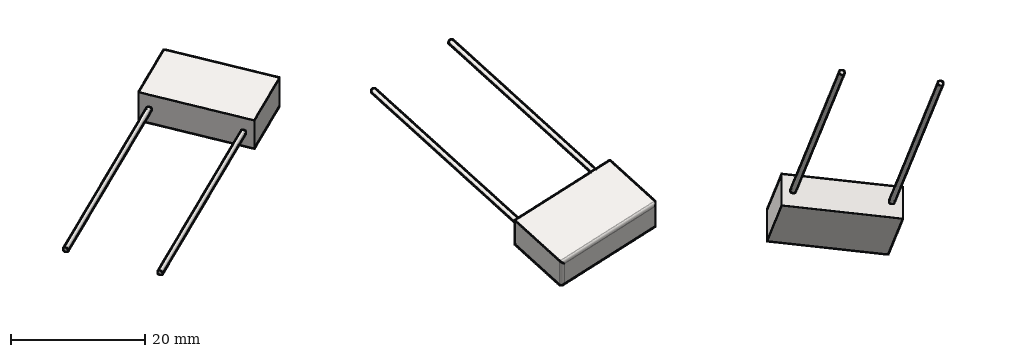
import cadquery as cq

overall_length = 46.0

housing_width = 18.5
housing_length = 11.0
housing_height = 5.5
back_edge_radius = 0.5

lead_diameter = 0.87
lead_pitch = 15.05
lead_length = overall_length - housing_length


def make_housing():
    """Block with its -Y face on the XZ plane and its +Y face rounded all around."""
    block = cq.Workplane("XY").box(
        housing_width, housing_length, housing_height, centered=(True, False, True)
    )
    return block.faces(">Y").edges().fillet(back_edge_radius)


def make_lead(x):
    """Straight round wire that starts on the -Y face of the housing and runs toward -Y."""
    return cq.Workplane("XZ").center(x, 0).circle(lead_diameter / 2).extrude(lead_length)


housing = make_housing()

leads = []
for side in (-1, 1):
    lead = make_lead(side * lead_pitch / 2)
    leads.append(lead.val())

result = cq.Compound.makeCompound([housing.val(), *leads])